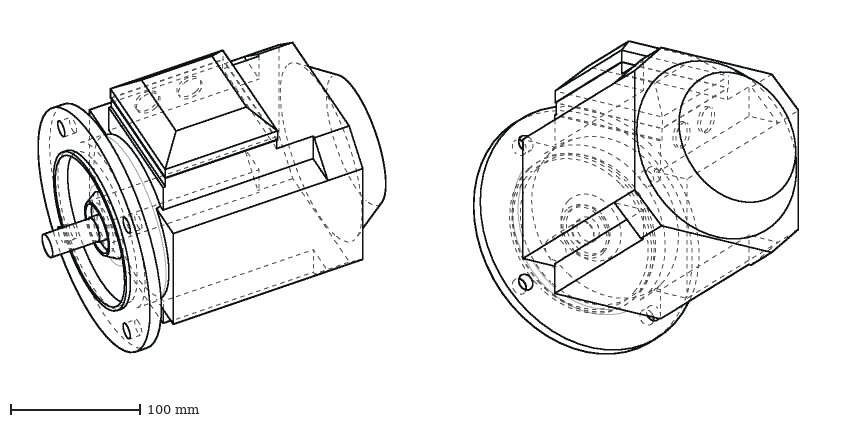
import cadquery as cq
import math


shaft_diameter = 19.0
shaft_length = 40.0
shaft_collar_diameter = 20.5

flange_diameter = 200.0
flange_thickness = 9.8
bolt_circle_diameter = 165.0
bolt_hole_diameter = 12.7
bolt_hole_count = 4
first_bolt_angle = 45
spigot_diameter = 130.0
spigot_height = 3.5

recess_diameter = 123.7
recess_rim_depth = 7.2
dish_floor_diameter = 65.8
dish_floor_depth = 11.7
boss_base_diameter = 55.0
boss_rim_diameter = 44.0
boss_rim_depth = 2.7
boss_pocket_diameter = 40.0
boss_pocket_depth = 7.5

neck_diameter = 135.5
neck_fillet = 3.2
neck_taper_start = 29.2
neck_rear_diameter = 132.8

body_size = 149.7
side_block_height = 100.0
upright_block_width = 96.6
side_block_front = 32.0
upright_block_front = 36.0
body_rear = 195.1
collar_length = 30.0
collar_flat_width = 101.0
collar_front = body_rear - collar_length

cowl_front_diameter = 146.0
cowl_rear_diameter = 106.7
cowl_length = 30.3

lid_length = 96.6
lid_front = 37.7
lid_top = 112.5
lid_seam_height = 84.7
lid_bevel = 18.0
lid_overhang = 0.5
lid_width = upright_block_width + 2 * lid_overhang

entry_diameter = 20.5
entry_depth = 2.7
entry_height = 68.2
entry_spacing = 36.0
entry_center = 86.5


def block(width, height, front, rear):
    """Box centred on the motor axis, reaching from front to rear along Y."""
    return cq.Workplane("XY").box(width, rear - front, height).translate((0, (front + rear) / 2, 0))


def make_end_shield():
    """Flange, spigot, dished recess, boss, shaft and neck turned as one profile."""
    neck_radius = neck_diameter / 2
    fillet_center_y = flange_thickness + neck_fillet
    fillet_center_radius = neck_radius + neck_fillet
    fillet_mid = neck_fillet * math.sqrt(0.5)
    profile = (
        cq.Workplane("XY")
        .moveTo(0, -shaft_length)
        .lineTo(shaft_diameter / 2, -shaft_length)
        .lineTo(shaft_diameter / 2, 0)
        .lineTo(shaft_collar_diameter / 2, 0)
        .lineTo(shaft_collar_diameter / 2, boss_pocket_depth)
        .lineTo(boss_pocket_diameter / 2, boss_pocket_depth)
        .lineTo(boss_pocket_diameter / 2, boss_rim_depth)
        .lineTo(boss_rim_diameter / 2, boss_rim_depth)
        .lineTo(boss_base_diameter / 2, dish_floor_depth)
        .lineTo(dish_floor_diameter / 2, dish_floor_depth)
        .lineTo(recess_diameter / 2, recess_rim_depth)
        .lineTo(recess_diameter / 2, -spigot_height)
        .lineTo(spigot_diameter / 2, -spigot_height)
        .lineTo(spigot_diameter / 2, 0)
        .lineTo(flange_diameter / 2, 0)
        .lineTo(flange_diameter / 2, flange_thickness)
        .lineTo(fillet_center_radius, flange_thickness)
        .threePointArc(
            (fillet_center_radius - fillet_mid, fillet_center_y - fillet_mid),
            (neck_radius, fillet_center_y),
        )
        .lineTo(neck_radius, neck_taper_start)
        .lineTo(neck_rear_diameter / 2, upright_block_front)
        .lineTo(0, upright_block_front)
        .close()
    )
    return profile.revolve(360, (0, 0, 0), (0, 1, 0))


def cut_bolt_holes(part):
    holes = (
        cq.Workplane("XZ")
        .polarArray(bolt_circle_diameter / 2, first_bolt_angle, 360, bolt_hole_count)
        .circle(bolt_hole_diameter / 2)
        .extrude(-flange_thickness)
    )
    return part.cut(holes)


def make_body():
    side_block = block(body_size, side_block_height, side_block_front, body_rear)
    upright_block = block(upright_block_width, body_size, upright_block_front, body_rear)
    collar = block(body_size, body_size, collar_front, body_rear)
    corner_width = (body_size - collar_flat_width) / 2
    corner_height = (body_size - side_block_height) / 2
    half = body_size / 2
    for x_side in (-1, 1):
        for z_side in (-1, 1):
            corner = (
                cq.Workplane("XZ", origin=(0, collar_front, 0))
                .moveTo(x_side * half, z_side * half)
                .lineTo(x_side * (half - corner_width), z_side * half)
                .lineTo(x_side * half, z_side * (half - corner_height))
                .close()
                .extrude(-collar_length)
            )
            collar = collar.cut(corner)
    return side_block.union(upright_block).union(collar)


def make_cowl():
    """Tapered fan cowl closing the rear of the body."""
    cowl_rear = body_rear + cowl_length
    return (
        cq.Workplane("XY")
        .moveTo(0, body_rear)
        .lineTo(cowl_front_diameter / 2, body_rear)
        .lineTo(cowl_rear_diameter / 2, cowl_rear)
        .lineTo(0, cowl_rear)
        .close()
        .revolve(360, (0, 0, 0), (0, 1, 0))
    )


def make_terminal_box():
    lid_center = lid_front + lid_length / 2
    lid = (
        cq.Workplane("XY", origin=(0, lid_center, lid_seam_height))
        .rect(lid_width, lid_length)
        .extrude(lid_top - lid_seam_height)
        .faces(">Z")
        .chamfer(lid_bevel)
    )
    base = (
        cq.Workplane("XY", origin=(0, lid_center, 0))
        .rect(upright_block_width, lid_length - 2 * lid_overhang)
        .extrude(lid_seam_height)
    )
    return base.union(lid)


def cut_cable_entries(part):
    """Two shallow round recesses in the -X side, below the lid."""
    for offset in (-entry_spacing / 2, entry_spacing / 2):
        entry = (
            cq.Workplane("YZ", origin=(-upright_block_width / 2, entry_center + offset, entry_height))
            .circle(entry_diameter / 2)
            .extrude(entry_depth)
        )
        part = part.cut(entry)
    return part


end_shield = cut_bolt_holes(make_end_shield())
housing = cut_cable_entries(make_body().union(make_terminal_box()))
result = end_shield.union(housing).union(make_cowl())